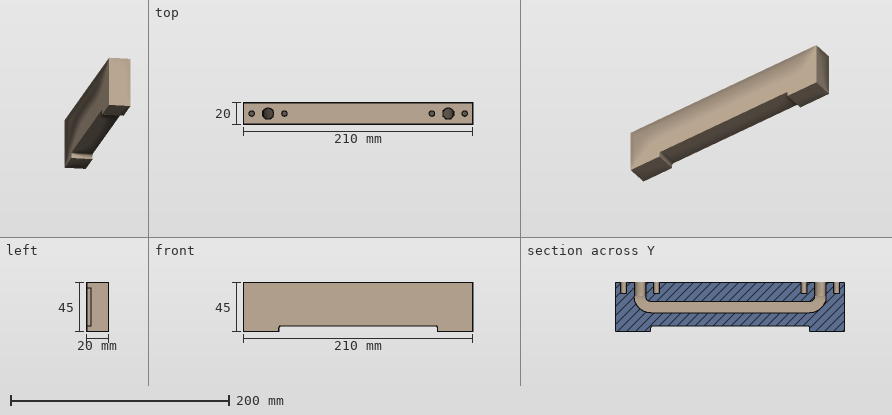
import cadquery as cq

length = 210.0
depth = 20.0
height = 45.0

relief_length = 145.0
relief_height = 5.0
relief_corner_radius = 1.5

plate_thickness = 4.0
plate_margin = 5.0
plate_height = height - 2 * plate_margin
plate_front_y = depth / 2 - plate_thickness

port_diameter = 10.0
port_offset = 82.5
pin_hole_diameter = 5.0
pin_hole_depth = 10.0
pin_hole_spacing = 15.0

channel_width = port_diameter
channel_outer_radius = 15.0
channel_overhang = 0.25
channel_front_y = -port_diameter / 2
channel_centre_z = height / 2
channel_bottom_z = channel_centre_z - channel_width / 2
channel_top_z = channel_centre_z + channel_width / 2
channel_half_length = port_offset + port_diameter / 2 + channel_overhang
bend_top_z = channel_bottom_z + channel_outer_radius
bend_inner_radius = channel_outer_radius - channel_width
port_depth = height - channel_top_z


def box_between(x_range, y_range, z_range):
    """Axis-aligned box spanning the given (low, high) ranges."""
    sizes = [high - low for low, high in (x_range, y_range, z_range)]
    corner = (x_range[0], y_range[0], z_range[0])
    return cq.Workplane("XY").box(*sizes, centered=False).translate(corner)


def top_holes(x_positions, diameter, hole_depth):
    """Round cutters sunk from the top face along the centre line."""
    return (
        cq.Workplane("XY", origin=(0, 0, height - hole_depth))
        .pushPoints([(x, 0) for x in x_positions])
        .circle(diameter / 2)
        .extrude(hole_depth)
    )


def make_plate():
    return box_between(
        (-length / 2, length / 2),
        (plate_front_y, depth / 2),
        (plate_margin, plate_margin + plate_height),
    )


def relief_cutter():
    cutter = box_between(
        (-relief_length / 2, relief_length / 2),
        (-depth / 2, depth / 2),
        (0, relief_height),
    )
    return cutter.edges("|Y and >Z").fillet(relief_corner_radius)


def channel_cutter():
    """U channel with a round bend under each port, open toward the plate."""
    inner_half_length = channel_half_length - channel_width
    straight_half_length = channel_half_length - channel_outer_radius
    return (
        cq.Workplane("XZ", origin=(0, plate_front_y, 0))
        .moveTo(-channel_half_length, bend_top_z)
        .radiusArc((-straight_half_length, channel_bottom_z), -channel_outer_radius)
        .lineTo(straight_half_length, channel_bottom_z)
        .radiusArc((channel_half_length, bend_top_z), -channel_outer_radius)
        .lineTo(inner_half_length, bend_top_z)
        .radiusArc((straight_half_length, channel_top_z), bend_inner_radius)
        .lineTo(-straight_half_length, channel_top_z)
        .radiusArc((-inner_half_length, bend_top_z), bend_inner_radius)
        .close()
        .extrude(plate_front_y - channel_front_y)
    )


def make_body():
    port_xs = [-port_offset, port_offset]
    pin_hole_xs = [x + side * pin_hole_spacing for x in port_xs for side in (-1, 1)]
    body = box_between((-length / 2, length / 2), (-depth / 2, depth / 2), (0, height))
    body = body.cut(relief_cutter())
    body = body.cut(make_plate())
    body = body.cut(channel_cutter())
    body = body.cut(top_holes(port_xs, port_diameter, port_depth))
    return body.cut(top_holes(pin_hole_xs, pin_hole_diameter, pin_hole_depth))


body = make_body()
plate = make_plate()
result = cq.Compound.makeCompound([body.val(), plate.val()])